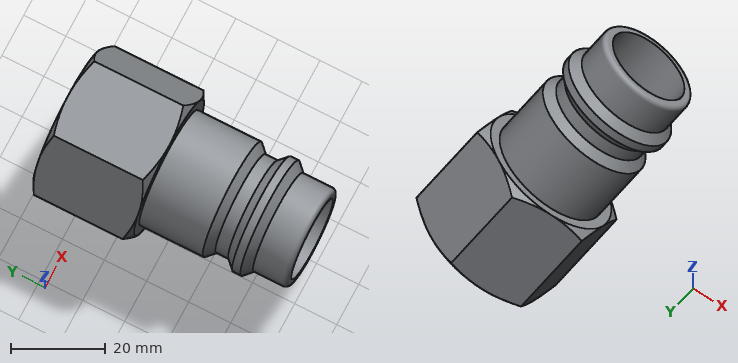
import cadquery as cq
import math

total_length = 58.0
across_flats = 32.0
hex_length = 24.0
hex_chamfer_angle = 30.0
body_diameter = 27.25
neck_diameter = 23.3
bore_diameter = 19.0
tip_fillet = 1.05

collar_start = 8.0
groove_width = 3.0
collar_land = 2.0
taper_length = (body_diameter - neck_diameter) / 2

body_radius = body_diameter / 2
neck_radius = neck_diameter / 2
hex_start = total_length - hex_length
collar_land_start = collar_start + taper_length
collar_land_end = collar_land_start + collar_land
groove_start = collar_land_end + taper_length
groove_end = groove_start + groove_width
body_start = groove_end + taper_length


def revolve_about_y(points):
    """Revolve a closed (radius, Y) outline about the Y axis."""
    return cq.Workplane("XY").polyline(points).close().revolve(360, (0, 0, 0), (0, 1, 0))


def make_hex():
    """Hexagon with corners on the X axis and both ends chamfered conically."""
    flat_radius = across_flats / 2
    corner_radius = flat_radius / math.cos(math.radians(30))
    chamfer_depth = (corner_radius - flat_radius) * math.tan(math.radians(hex_chamfer_angle))
    prism = (
        cq.Workplane("XZ", origin=(0, total_length, 0))
        .polygon(6, 2 * corner_radius)
        .extrude(hex_length)
    )
    chamfer_envelope = revolve_about_y([
        (0, hex_start),
        (flat_radius, hex_start),
        (corner_radius, hex_start + chamfer_depth),
        (corner_radius, total_length - chamfer_depth),
        (flat_radius, total_length),
        (0, total_length),
    ])
    return prism.intersect(chamfer_envelope)


def make_plug():
    """Round plug with a collar, a locking groove and a rounded tip."""
    plug = revolve_about_y([
        (0, 0),
        (neck_radius, 0),
        (neck_radius, collar_start),
        (body_radius, collar_land_start),
        (body_radius, collar_land_end),
        (neck_radius, groove_start),
        (neck_radius, groove_end),
        (body_radius, body_start),
        (body_radius, hex_start),
        (0, hex_start),
    ])
    return plug.faces("<Y").edges().fillet(tip_fillet)


def make_bore():
    """Straight through bore."""
    return (
        cq.Workplane("XZ", origin=(0, total_length, 0))
        .circle(bore_diameter / 2)
        .extrude(total_length)
    )


result = make_hex().union(make_plug()).cut(make_bore())